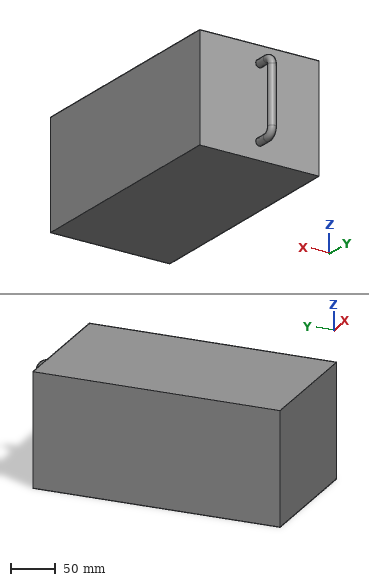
import cadquery as cq

overall_length = 330.0
body_width = 160.0
body_height = 140.0
handle_reach = 30.0
body_length = overall_length - handle_reach

bar_diameter = 10.0
handle_height = 105.0
bend_radius = 10.0


def make_body():
    """Plain block, with its back face on the plane Y = 0."""
    return cq.Workplane("XY").box(body_width, body_length, body_height).translate((0, -body_length / 2, 0))


def make_handle():
    """Bar swept along two legs, two quarter bends and a vertical grip."""
    leg_z = (handle_height - bar_diameter) / 2
    grip_y = handle_reach - bar_diameter / 2
    bend_start_y = grip_y - bend_radius
    grip_end_z = leg_z - bend_radius
    path = (
        cq.Workplane("YZ")
        .moveTo(0, -leg_z)
        .lineTo(bend_start_y, -leg_z)
        .tangentArcPoint((grip_y, -grip_end_z), relative=False)
        .lineTo(grip_y, grip_end_z)
        .tangentArcPoint((bend_start_y, leg_z), relative=False)
        .lineTo(0, leg_z)
    )
    return cq.Workplane("XZ", origin=(0, 0, -leg_z)).circle(bar_diameter / 2).sweep(path)


result = make_body().union(make_handle())